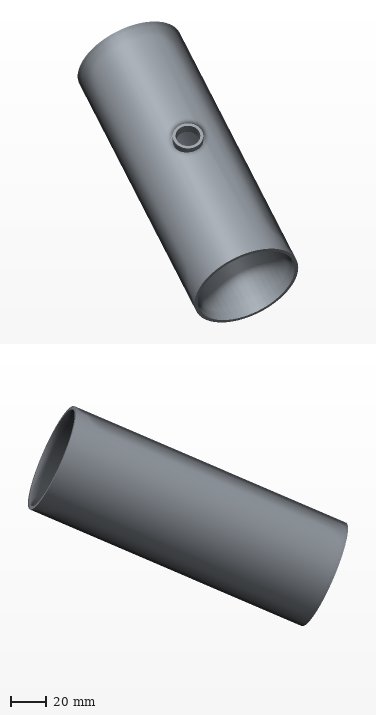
import cadquery as cq

tube_length = 170.0
tube_outer_diameter = 63.5
tube_inner_diameter = 59.5

branch_outer_diameter = 17.3
branch_inner_diameter = 14.0
overall_height = 67.3
branch_top = overall_height - tube_outer_diameter / 2


def tube_cylinder(diameter):
    """Solid cylinder along X, centred on the origin."""
    return cq.Workplane("YZ").circle(diameter / 2).extrude(tube_length / 2, both=True)


def branch_cylinder(diameter):
    """Solid cylinder from the tube axis up to the branch rim."""
    return cq.Workplane("XY").circle(diameter / 2).extrude(branch_top)


outer_body = tube_cylinder(tube_outer_diameter).union(branch_cylinder(branch_outer_diameter))

result = outer_body.cut(tube_cylinder(tube_inner_diameter)).cut(branch_cylinder(branch_inner_diameter))